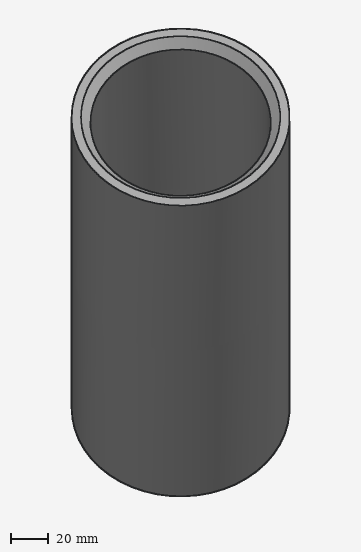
import cadquery as cq

length = 262.5
outer_diameter = 115.0
bore_diameter = 95.0
mouth_diameter = 105.0

chamfer_size = (mouth_diameter - bore_diameter) / 2

tube = (
    cq.Workplane("XY")
    .circle(outer_diameter / 2)
    .circle(bore_diameter / 2)
    .extrude(length / 2, both=True)
)

inner_top_edge = cq.selectors.RadiusNthSelector(0)
result = tube.faces(">Z").edges(inner_top_edge).chamfer(chamfer_size)